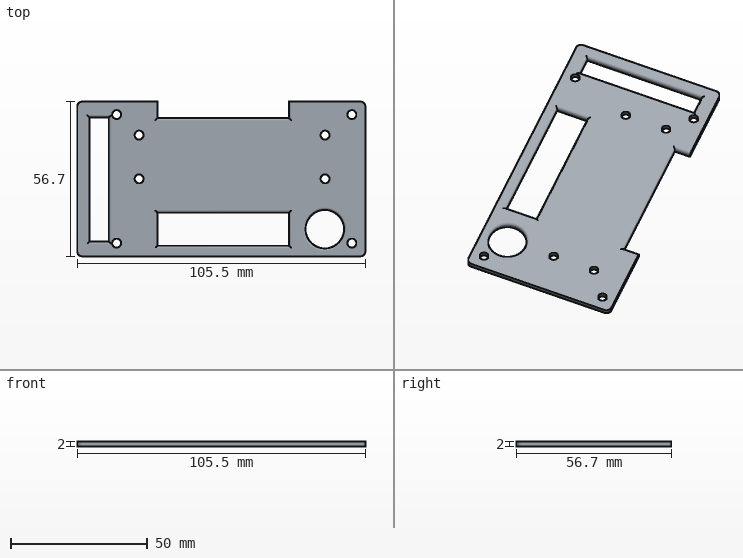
import cadquery as cq

PLATE_LENGTH = 105.5
PLATE_WIDTH = 56.7
PLATE_THICKNESS = 2.0
CORNER_RADIUS = 2.0

RIM_RADIUS = 1.0

SLOT_LEFT = 4.6
SLOT_BOTTOM = 5.5
SLOT_LENGTH = 7.0
SLOT_WIDTH = 45.3

WINDOW_LEFT = 29.45
WINDOW_BOTTOM = 4.0
WINDOW_LENGTH = 48.0
WINDOW_WIDTH = 12.0
NOTCH_DEPTH = 6.0

ROUND_DIAMETER = 14.0
ROUND_CENTER = (90.6, 10.0)

SCREW_DIAMETER = 3.2
OUTER_SCREW_FIRST = (14.5, 4.9)
OUTER_SCREW_PITCH = (86.0, 47.0)
INNER_SCREW_FIRST = (22.7, 28.4)
INNER_SCREW_PITCH = (68.0, 16.0)


def make_plate():
    plate = cq.Workplane("XY").box(PLATE_LENGTH, PLATE_WIDTH, PLATE_THICKNESS, centered=False)
    return plate.edges("|Z").fillet(CORNER_RADIUS)


def box_cutter(left, bottom, length, width):
    """Rectangular through cutter standing on the underside of the plate."""
    cutter = cq.Workplane("XY").box(length, width, PLATE_THICKNESS, centered=False)
    return cutter.translate((left, bottom, 0))


def round_cutter(center, diameter):
    """Cylindrical through cutter standing on the underside of the plate."""
    return cq.Workplane("XY").center(*center).circle(diameter / 2).extrude(PLATE_THICKNESS)


def cut_large_openings(plate):
    """Cut the slot, window, notch and round opening, then round their upper rims."""
    notch_bottom = PLATE_WIDTH - NOTCH_DEPTH
    cutters = [
        box_cutter(SLOT_LEFT, SLOT_BOTTOM, SLOT_LENGTH, SLOT_WIDTH),
        box_cutter(WINDOW_LEFT, WINDOW_BOTTOM, WINDOW_LENGTH, WINDOW_WIDTH),
        box_cutter(WINDOW_LEFT, notch_bottom, WINDOW_LENGTH, NOTCH_DEPTH),
        round_cutter(ROUND_CENTER, ROUND_DIAMETER),
    ]
    for cutter in cutters:
        plate = plate.cut(cutter)

    inside = cq.selectors.BoxSelector(
        (CORNER_RADIUS, CORNER_RADIUS, PLATE_THICKNESS / 2),
        (PLATE_LENGTH - CORNER_RADIUS, PLATE_WIDTH - CORNER_RADIUS, PLATE_THICKNESS + RIM_RADIUS),
    )
    return plate.faces(">Z").edges(inside).fillet(RIM_RADIUS)


def cut_screw_pattern(plate, first, pitch):
    """Drill four screw holes at the corners of a rectangle."""
    for column in range(2):
        for row in range(2):
            center = (first[0] + column * pitch[0], first[1] + row * pitch[1])
            plate = plate.cut(round_cutter(center, SCREW_DIAMETER))
    return plate


result = cut_large_openings(make_plate())
result = cut_screw_pattern(result, OUTER_SCREW_FIRST, OUTER_SCREW_PITCH)
result = cut_screw_pattern(result, INNER_SCREW_FIRST, INNER_SCREW_PITCH)